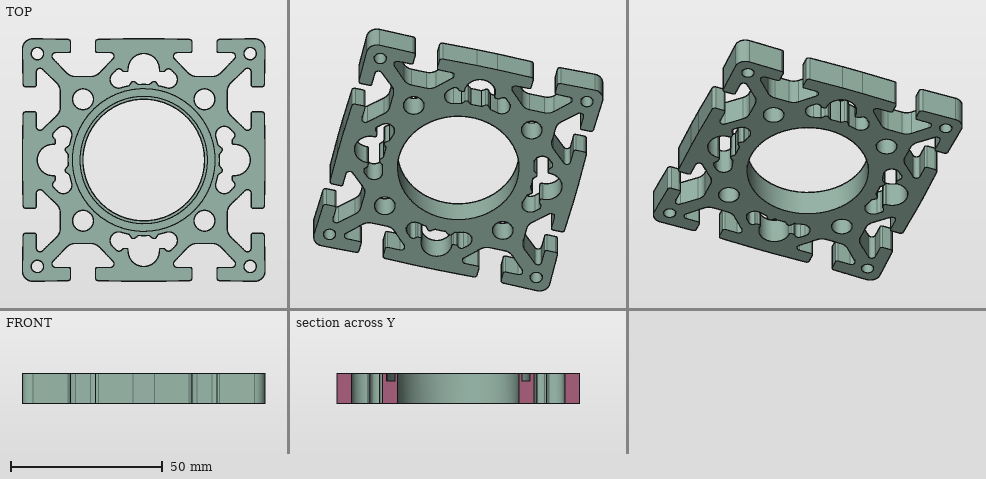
import cadquery as cq
import math

side = 80.0
thickness = 10.0
half_side = side / 2
corner_radius = 3.5

bore_diameter = 40.0
groove_inner_diameter = 42.0
groove_outer_diameter = 47.0
groove_depth = 2.5

bolt_hole_diameter = 6.8
corner_hole_diameter = 4.0
slot_position = side / 4
corner_hole_inset = 5.0
corner_hole_position = half_side - corner_hole_inset

mouth_width = 8.2
lip_thickness = 4.6
lip_drop = 0.2
lip_front_radius = 1.0
lip_back_radius = 0.6
slot_depth = 12.5
slot_floor_width = 8.5
slot_flank_angle = 46.0
slot_wedge_radius = 1.2
slot_floor_radius = 4.0

dome_radius = 5.1
dome_wall = 5.0
hollow_inner_radius = 25.0
tooth_tip_height = 29.1
tooth_tip_radius = 0.5
tooth_width = 1.6
notch_height = 30.6
notch_radius = 1.4
lobe_radius = 2.8

bump_height = 1.5
bump_tip_radius = 0.8
bump_angle = 7.7

DIAGONAL = math.sqrt(0.5)


def corner_arc(before, corner, after, radius):
    """Return the start, middle and end of the arc that rounds a corner."""
    to_before = (cq.Vector(*before) - cq.Vector(*corner)).normalized()
    to_after = (cq.Vector(*after) - cq.Vector(*corner)).normalized()
    half_angle = to_before.getAngle(to_after) / 2
    setback = radius / math.tan(half_angle)
    middle_setback = radius / math.sin(half_angle) - radius
    bisector = (to_before + to_after).normalized()
    origin = cq.Vector(*corner)
    arc = (origin + to_before * setback, origin + bisector * middle_setback, origin + to_after * setback)
    return [point.toTuple()[:2] for point in arc]


def add_rounded_corner(outline, before, corner, after, radius):
    """Draw a line up to a corner and an arc round it."""
    start, middle, end = corner_arc(before, corner, after, radius)
    return outline.lineTo(*start).threePointArc(middle, end)


def through(outline):
    return outline.close().extrude(thickness)


def cylinder(diameter, height=thickness):
    return cq.Workplane("XY").circle(diameter / 2).extrude(height)


def on_all_sides(tool):
    """Repeat a tool about the centre, once for each side of the plate."""
    turned = tool
    for turn in range(1, 4):
        turned = turned.union(tool.rotate((0, 0, 0), (0, 0, 1), 90 * turn))
    return turned


def make_slot():
    """T-slot on the +Y side, centred on X = 0; the outer faces of its lips dip towards the mouth."""
    floor_half = slot_floor_width / 2
    flank_height = slot_depth - lip_thickness
    wedge_half = floor_half + flank_height / math.tan(math.radians(slot_flank_angle))
    lip_start = slot_position - corner_radius
    lip_back = half_side - lip_thickness
    floor = half_side - slot_depth
    half = [
        (lip_start, half_side, 0),
        (mouth_width / 2, half_side - lip_drop, lip_front_radius),
        (mouth_width / 2, lip_back, lip_back_radius),
        (wedge_half, lip_back, slot_wedge_radius),
        (floor_half, floor, slot_floor_radius),
    ]
    corners = half + [(-x, y, radius) for x, y, radius in reversed(half)]
    outline = cq.Workplane("XY").moveTo(lip_start, half_side)
    for before, corner, after in zip(corners, corners[1:], corners[2:]):
        outline = add_rounded_corner(outline, before[:2], corner[:2], after[:2], corner[2])
    outline = outline.lineTo(-lip_start, half_side)
    return through(outline)


def make_bump():
    """Rounded 45-degree bump on the hollow's inner wall."""
    foot = hollow_inner_radius - bump_height
    tip = (0, hollow_inner_radius + bump_height)
    left = (-2 * bump_height, foot)
    right = (2 * bump_height, foot)
    outline = cq.Workplane("XY").moveTo(*left)
    outline = add_rounded_corner(outline, left, tip, right, bump_tip_radius).lineTo(*right)
    return through(outline).rotate((0, 0, 0), (0, 0, 1), -bump_angle)


def make_hollow():
    """Hollow on the +Y side: a dome, a tooth, a notch and a lobe, mirrored about X = 0."""
    dome_top = half_side - dome_wall
    dome_centre = dome_top - dome_radius
    dome_middle = (dome_radius * DIAGONAL, dome_centre + dome_radius * DIAGONAL)
    dome_end = (dome_radius, dome_centre)
    tooth_inner = (dome_radius, tooth_tip_height)
    tooth_outer = (dome_radius + tooth_width, tooth_tip_height)
    notch = (tooth_outer[0] + notch_height - tooth_tip_height, notch_height)

    lobe_distance = hollow_inner_radius + lobe_radius
    lobe_sum = sum(notch) - lobe_radius / DIAGONAL
    lobe_x = (lobe_sum - math.sqrt(2 * lobe_distance**2 - lobe_sum**2)) / 2
    lobe_y = lobe_sum - lobe_x
    lobe_start = (lobe_x + lobe_radius * DIAGONAL, lobe_y + lobe_radius * DIAGONAL)
    lobe_middle = (lobe_x + lobe_radius, lobe_y)
    wall_ratio = hollow_inner_radius / lobe_distance
    lobe_end = (lobe_x * wall_ratio, lobe_y * wall_ratio)
    wall_middle_angle = math.atan2(lobe_x, lobe_y) / 2
    wall_middle = (
        hollow_inner_radius * math.sin(wall_middle_angle),
        hollow_inner_radius * math.cos(wall_middle_angle),
    )

    outline = cq.Workplane("XY").moveTo(0, dome_top)
    outline = outline.threePointArc(dome_middle, dome_end)
    outline = add_rounded_corner(outline, dome_end, tooth_inner, tooth_outer, tooth_tip_radius)
    outline = add_rounded_corner(outline, tooth_inner, tooth_outer, notch, tooth_tip_radius)
    outline = add_rounded_corner(outline, tooth_outer, notch, lobe_start, notch_radius)
    outline = outline.lineTo(*lobe_start)
    outline = outline.threePointArc(lobe_middle, lobe_end)
    outline = outline.threePointArc(wall_middle, (0, hollow_inner_radius))
    half = through(outline).cut(make_bump())
    return half.union(half.mirror("YZ"))


def make_groove():
    ring = cylinder(groove_outer_diameter, groove_depth).cut(cylinder(groove_inner_diameter, groove_depth))
    return ring.translate((0, 0, thickness - groove_depth))


slot = make_slot()
slot_pair = slot.translate((slot_position, 0, 0)).union(slot.translate((-slot_position, 0, 0)))

result = cq.Workplane("XY").rect(side, side).extrude(thickness)
result = result.edges("|Z").fillet(corner_radius)
result = result.cut(on_all_sides(slot_pair))
result = result.cut(on_all_sides(make_hollow()))
result = result.cut(cylinder(bore_diameter))
result = result.cut(make_groove())
for diameter, position in (
    (bolt_hole_diameter, slot_position),
    (corner_hole_diameter, corner_hole_position),
):
    hole = cylinder(diameter).translate((position, position, 0))
    result = result.cut(on_all_sides(hole))